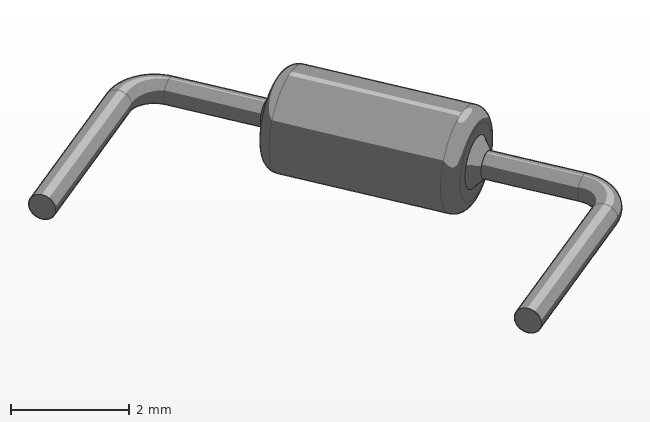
import cadquery as cq

overall_length = 9.4
overall_depth = 5.0

body_length = 3.65
body_diameter = 1.91
body_edge_radius = 0.25

wire_diameter = 0.5
bend_radius = 0.66

collar_length = 0.2
collar_base_diameter = 0.96

body_half_length = body_length / 2
body_radius = body_diameter / 2
wire_radius = wire_diameter / 2
lead_x = overall_length / 2 - wire_radius
lead_end_y = body_radius - overall_depth


def make_body():
    left_end = cq.Workplane("YZ").workplane(offset=-body_half_length)
    body = left_end.circle(body_radius).extrude(body_length)
    return body.edges().fillet(body_edge_radius)


def make_collars():
    """Revolve both collars and the straight core joining them about the X axis."""
    base_radius = collar_base_diameter / 2
    tip_x = body_half_length + collar_length
    profile = (
        cq.Workplane("XY")
        .moveTo(-tip_x, 0)
        .lineTo(-tip_x, wire_radius)
        .lineTo(-body_half_length, base_radius)
        .lineTo(body_half_length, base_radius)
        .lineTo(tip_x, wire_radius)
        .lineTo(tip_x, 0)
        .close()
    )
    return profile.revolve(360, (0, 0, 0), (1, 0, 0))


def make_lead(side):
    """Sweep one lead from the body centre outward; side is -1 or +1 along X."""
    bend_start_x = lead_x - bend_radius
    path = (
        cq.Workplane("XY")
        .lineTo(side * bend_start_x, 0)
        .tangentArcPoint((side * lead_x, -bend_radius), relative=False)
        .lineTo(side * lead_x, lead_end_y)
    )
    return cq.Workplane("YZ").circle(wire_radius).sweep(path)


result = make_body().union(make_collars())
for side in (-1, 1):
    result = result.union(make_lead(side))